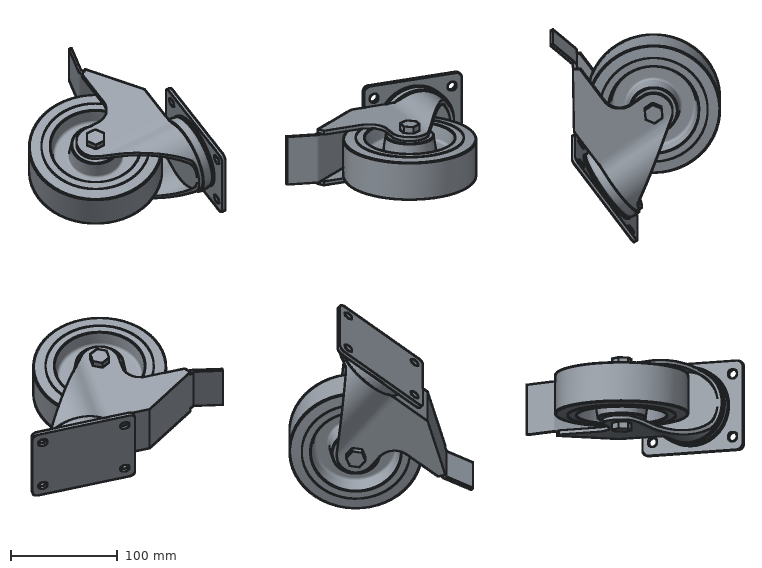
import cadquery as cq
import math

overall_length = 198.8
overall_height = 150.0
tread_radius = 125.0 / 2
swivel_x = 40.1

plate_top = overall_height - tread_radius
plate_thickness = 3.8
plate_length = 100.0
plate_width = 85.0
plate_corner_radius = 5.5
hole_diameter = 9.0
hole_pitch_x = 79.9
hole_pitch_z = 60.0

head_radius = 36.8
head_bottom = 71.7
collar_radius = 36.5
collar_bottom = 82.7
groove_radius = 36.0
groove_bottom = 81.3
shoulder_top = 78.5

sheet = 4.0
fork_half_width = 27.5
fork_bend_radius = 35.0
flat_end_x = 10.1
axle_boss_radius = 36.0 / 2
front_edge_angle = 56.5
front_lip_y = head_bottom - sheet
front_lip_fillet = 8.1
tail_top_x = -28.5
tail_slope = 35.0
tail_length = 60.6
tail_bottom_y = 31.2
tail_fillet = 17.7

lever_width = 47.7
lever_tip_x = swivel_x + plate_length / 2 - overall_length
lever_angle = 13.0
lever_thickness = 2.8
lever_top_length = 4.2
lever_under_length = 4.4
lever_bend_radius = 3.5

tread_half_width = 36.0 / 2
tread_chamfer = 0.8
tread_face_z = 19.7
rim_radius = 101.5 / 2
rim_face_z = 20.3
recess_radius = 43.0
recess_chamfer = 0.5
recess_wall_radius = 40.1
recess_fillet = 3.2
floor_z = 5.0
hub_radius = 24.8
hub_top_radius = 22.7
hub_base_fillet = 2.4
hub_face_z = 22.7
hub_chamfer = 0.8
turning_margin = 2.0

axle_diameter = 15.1
bolt_across_flats = 15.9
bolt_end_z = 34.0


def polar(length, degrees):
    """Vector of the given length and direction."""
    angle = math.radians(degrees)
    return cq.Vector(length * math.cos(angle), length * math.sin(angle))


def xy(vector):
    """Plain pair of coordinates of a vector."""
    return (vector.x, vector.y)


def extrude_z(sketch, half_width):
    """Extrude an XY profile symmetrically about the wheel mid-plane."""
    return sketch.extrude(half_width, both=True)


def plan(y):
    """Workplane across the swivel axis at height y: local x is X, local y is Z, extrusions go towards -Y."""
    return cq.Workplane("XZ", origin=(swivel_x, y, 0))


def make_plate():
    """Rounded plate with four screw holes."""
    return (
        plan(plate_top)
        .rect(plate_length, plate_width)
        .extrude(plate_thickness)
        .edges("|Y")
        .fillet(plate_corner_radius)
        .faces(">Y")
        .workplane(origin=(swivel_x, plate_top, 0))
        .rect(hole_pitch_x, hole_pitch_z, forConstruction=True)
        .vertices()
        .hole(hole_diameter)
    )


def make_head():
    """Round head under the plate with a shallow groove."""
    plate_bottom = plate_top - plate_thickness
    return (
        cq.Workplane("XY")
        .moveTo(0, plate_bottom)
        .lineTo(collar_radius, plate_bottom)
        .lineTo(collar_radius, collar_bottom)
        .lineTo(groove_radius, groove_bottom)
        .lineTo(head_radius, shoulder_top)
        .lineTo(head_radius, head_bottom)
        .lineTo(0, head_bottom)
        .close()
        .revolve(360, (0, 0), (0, 1))
        .translate((swivel_x, 0, 0))
    )


tail_top = cq.Vector(tail_top_x, head_bottom)
tail_end = tail_top + polar(tail_length, 180 + tail_slope)
square_cut = polar(1, tail_slope - 90)
tail_tip = tail_end + square_cut * ((tail_bottom_y - tail_end.y) / square_cut.y)

web_inner_corner = (tail_top_x + sheet * math.tan(math.radians(tail_slope / 2)), front_lip_y)


def make_side_profile():
    """Solid with the side outline of the fork, wide enough to trim the bent sheet."""
    back_x = swivel_x + fork_bend_radius
    boss_end = polar(axle_boss_radius, front_edge_angle - 90)
    rise = front_lip_y - boss_end.y
    corner = (boss_end.x + rise / math.tan(math.radians(front_edge_angle)), front_lip_y)
    profile = (
        cq.Workplane("XY")
        .moveTo(*xy(tail_top))
        .lineTo(*xy(tail_end))
        .lineTo(*xy(tail_tip))
        .lineTo(-axle_boss_radius - tail_fillet, tail_bottom_y)
        .radiusArc((-axle_boss_radius, tail_bottom_y - tail_fillet), tail_fillet)
        .lineTo(-axle_boss_radius, 0)
        .threePointArc((0, -axle_boss_radius), xy(boss_end))
        .lineTo(*corner)
        .lineTo(back_x, front_lip_y)
        .lineTo(back_x, head_bottom)
        .close()
    )
    lip_edge = cq.selectors.NearestToPointSelector((corner[0], corner[1], 0))
    return extrude_z(profile, head_radius).edges(lip_edge).fillet(front_lip_fillet)


def make_fork_plan(inset):
    """Solid with the plan outline of the fork, moved inwards by the given inset."""
    half_width = fork_half_width - inset
    bend = fork_bend_radius - inset
    run = swivel_x - flat_end_x
    outer_gap = fork_bend_radius - fork_half_width
    concave = (run**2 - fork_bend_radius**2 + fork_half_width**2) / (2 * outer_gap) + inset
    center = cq.Vector(-run, half_width + concave)
    to_center = math.degrees(math.atan2(center.y, center.x))
    join = polar(bend, to_center)
    flat_direction = 270
    join_direction = to_center + 180
    concave_mid = center + polar(concave, (flat_direction + join_direction) / 2)
    start_x = tail_end.x - swivel_x - sheet
    return (
        plan(plate_top)
        .moveTo(start_x, half_width)
        .lineTo(-run, half_width)
        .threePointArc(xy(concave_mid), xy(join))
        .threePointArc((bend, 0), (join.x, -join.y))
        .threePointArc((concave_mid.x, -concave_mid.y), (-run, -half_width))
        .lineTo(start_x, -half_width)
        .close()
        .extrude(plate_top + axle_boss_radius + sheet)
    )


def make_fork():
    """Bent sheet walls closed by a roof under the swivel head."""
    outer = make_fork_plan(0).intersect(make_side_profile())
    walls = outer.cut(make_fork_plan(sheet))
    roof = outer.intersect(
        cq.Workplane("XY")
        .moveTo(tail_top_x, head_bottom)
        .lineTo(swivel_x + head_radius, head_bottom)
        .lineTo(swivel_x + head_radius, front_lip_y)
        .lineTo(*web_inner_corner)
        .close()
        .extrude(head_radius, both=True)
    )
    return walls.union(roof)


def make_brake():
    """Web bent down along the tail of the fork and the lever bent out of its end."""
    knee = tail_end + polar(lever_top_length, 180 + tail_slope)
    under_knee = tail_end + square_cut * sheet + polar(lever_under_length, 180 + tail_slope)
    lever_length = (knee.x - lever_tip_x) / math.cos(math.radians(lever_angle))
    tip = knee + polar(lever_length, 180 - lever_angle)
    tip_height = lever_thickness / math.cos(math.radians(lever_angle))
    profile = (
        cq.Workplane("XY")
        .moveTo(*xy(tail_top))
        .lineTo(*xy(knee))
        .lineTo(*xy(tip))
        .lineTo(tip.x, tip.y - tip_height)
        .lineTo(*xy(under_knee))
        .lineTo(*web_inner_corner)
        .close()
    )
    bend_edge = cq.selectors.NearestToPointSelector(under_knee)
    return extrude_z(profile, lever_width / 2).edges(bend_edge).fillet(lever_bend_radius)


def make_wheel():
    """Cylinder turned down on both sides to the tread edge, the rim, the recess and the hub."""
    outside = tread_radius + turning_margin
    waste = (
        cq.Workplane("XZ")
        .moveTo(outside, tread_half_width)
        .lineTo(tread_radius, tread_half_width)
        .lineTo(tread_radius - tread_chamfer, tread_half_width + tread_chamfer)
        .lineTo(rim_radius, tread_face_z)
        .lineTo(rim_radius, rim_face_z)
        .lineTo(recess_radius, rim_face_z)
        .lineTo(recess_radius - recess_chamfer, rim_face_z - recess_chamfer)
        .lineTo(recess_wall_radius, floor_z + recess_fillet)
        .radiusArc((recess_wall_radius - recess_fillet, floor_z), recess_fillet)
        .lineTo(hub_radius + hub_base_fillet, floor_z)
        .radiusArc((hub_radius, floor_z + hub_base_fillet), hub_base_fillet)
        .lineTo(hub_top_radius, hub_face_z - hub_chamfer)
        .lineTo(hub_top_radius - hub_chamfer, hub_face_z)
        .lineTo(outside, hub_face_z)
        .close()
        .revolve(360, (0, 0), (0, 1))
    )
    blank = extrude_z(cq.Workplane("XY").circle(tread_radius), hub_face_z)
    return blank.cut(waste).cut(waste.mirror("XY"))


def make_axle():
    """Plain axle with a hexagon at each end, two of its corners on the Y axis."""
    corner_diameter = bolt_across_flats / math.cos(math.pi / 6)
    axle = extrude_z(cq.Workplane("XY").circle(axle_diameter / 2), bolt_end_z)
    hexagon = cq.Workplane("XY").transformed(rotate=(0, 0, 90)).polygon(6, corner_diameter)
    heads = extrude_z(hexagon, bolt_end_z)
    gap = extrude_z(cq.Workplane("XY").circle(corner_diameter), fork_half_width)
    return axle.union(heads.cut(gap))


result = (
    make_fork()
    .union(make_plate())
    .union(make_head())
    .union(make_brake())
    .union(make_wheel())
    .union(make_axle())
)